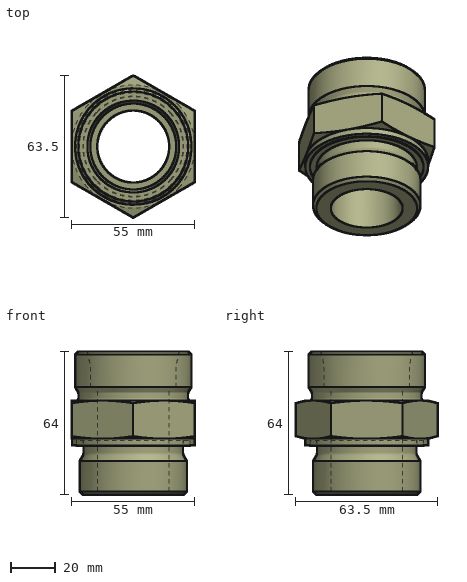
import cadquery as cq
import math

total_height = 64.0

hex_sides = 6
hex_across_flats = 55.0
hex_bottom = 25.0
hex_top = 42.0
hex_corner_bevel_angle = 15.0
bevel_overrun = 1.0
flange_diameter = 54.9
flange_bottom = 22.0

tube_end_diameter = 52.0
tube_end_chamfer = 1.5
tube_neck_diameter = 49.0
tube_relief_top = 45.5
tube_neck_fillet = 1.0

stud_diameter = 48.0
stud_chamfer = 1.5
stud_neck_diameter = 44.5
stud_relief_bottom = 18.0
stud_neck_fillet = 2.0

relief_angle = 30.0

bore_diameter = 32.0
socket_diameter = 38.3
socket_depth = 16.0
mouth_diameter = 41.0
mouth_half_angle = 12.0

seal_outer_diameter = 50.7
seal_inner_diameter = 44.7
seal_thickness = 2.5
seal_protrusion = 0.3
seal_bottom = flange_bottom - seal_protrusion
seal_top = seal_bottom + seal_thickness


def tan_degrees(angle):
    return math.tan(math.radians(angle))


def cone_height(large_diameter, small_diameter, half_angle):
    """Axial length of a cone whose side leans half_angle from the axis."""
    return (large_diameter - small_diameter) / 2 / tan_degrees(half_angle)


def revolve_profile(points):
    """Turn a closed (radius, height) outline about the Z axis."""
    return cq.Workplane("XZ").polyline(points).close().revolve(360, (0, 0, 0), (0, 1, 0))


def ring(outer_diameter, inner_diameter, bottom, top):
    return (
        cq.Workplane("XY", origin=(0, 0, bottom))
        .circle(outer_diameter / 2)
        .circle(inner_diameter / 2)
        .extrude(top - bottom)
    )


def fillet_circle(solid, diameter, height, radius):
    """Round the circular edge of the given diameter lying at the given height."""
    margin = 0.01
    reach = diameter / 2 + margin
    edge_zone = cq.selectors.BoxSelector(
        (-reach, -reach, height - margin), (reach, reach, height + margin), boundingbox=True
    )
    return solid.edges("%CIRCLE").edges(edge_zone).fillet(radius)


def make_tube_end():
    """Threaded tube end with its relief groove, down to the hexagon."""
    outer = tube_end_diameter / 2
    neck = tube_neck_diameter / 2
    thread_bottom = tube_relief_top + cone_height(tube_end_diameter, tube_neck_diameter, relief_angle)
    return revolve_profile([
        (0, hex_top),
        (neck, hex_top),
        (neck, tube_relief_top),
        (outer, thread_bottom),
        (outer, total_height - tube_end_chamfer),
        (outer - tube_end_chamfer, total_height),
        (0, total_height),
    ])


def make_stud_end():
    """Threaded stud end with its relief groove, and the flange above it."""
    outer = stud_diameter / 2
    neck = stud_neck_diameter / 2
    thread_top = stud_relief_bottom - cone_height(stud_diameter, stud_neck_diameter, relief_angle)
    return revolve_profile([
        (0, 0),
        (outer - stud_chamfer, 0),
        (outer, stud_chamfer),
        (outer, thread_top),
        (neck, stud_relief_bottom),
        (neck, flange_bottom),
        (flange_diameter / 2, flange_bottom),
        (flange_diameter / 2, hex_bottom),
        (0, hex_bottom),
    ])


def make_hexagon():
    """Hexagon with corners on +Y and -Y, bevelled at the corners of both ends."""
    corner_diameter = hex_across_flats / math.cos(math.pi / hex_sides)
    bevel_start = flange_diameter / 2
    bevel_end = corner_diameter / 2 + bevel_overrun
    bevel_drop = (bevel_end - bevel_start) * tan_degrees(hex_corner_bevel_angle)
    prism = (
        cq.Workplane("XY", origin=(0, 0, hex_bottom))
        .polygon(hex_sides, corner_diameter)
        .extrude(hex_top - hex_bottom)
        .rotate((0, 0, 0), (0, 0, 1), 180 / hex_sides)
    )
    bevel_envelope = revolve_profile([
        (0, hex_bottom),
        (bevel_start, hex_bottom),
        (bevel_end, hex_bottom + bevel_drop),
        (bevel_end, hex_top - bevel_drop),
        (bevel_start, hex_top),
        (0, hex_top),
    ])
    return prism.intersect(bevel_envelope)


def make_bore():
    """Through bore, tube socket and tapered mouth, as one cutter."""
    socket_bottom = total_height - socket_depth
    taper_bottom = total_height - cone_height(mouth_diameter, socket_diameter, mouth_half_angle)
    return revolve_profile([
        (0, 0),
        (bore_diameter / 2, 0),
        (bore_diameter / 2, socket_bottom),
        (socket_diameter / 2, socket_bottom),
        (socket_diameter / 2, taper_bottom),
        (mouth_diameter / 2, total_height),
        (0, total_height),
    ])


def make_fitting_body():
    body = make_hexagon().union(make_tube_end()).union(make_stud_end())
    body = fillet_circle(body, tube_neck_diameter, hex_top, tube_neck_fillet)
    body = fillet_circle(body, tube_neck_diameter, tube_relief_top, tube_neck_fillet)
    body = fillet_circle(body, stud_neck_diameter, stud_relief_bottom, stud_neck_fillet)
    seal_recess = ring(seal_outer_diameter, stud_neck_diameter, flange_bottom, seal_top)
    return body.cut(make_bore()).cut(seal_recess)


def make_seal_ring():
    """Sealing ring that fills the flange recess and stands proud below it."""
    return ring(seal_outer_diameter, seal_inner_diameter, seal_bottom, seal_top)


fitting_body = make_fitting_body()
seal_ring = make_seal_ring()

result = cq.Compound.makeCompound([fitting_body.val(), seal_ring.val()])